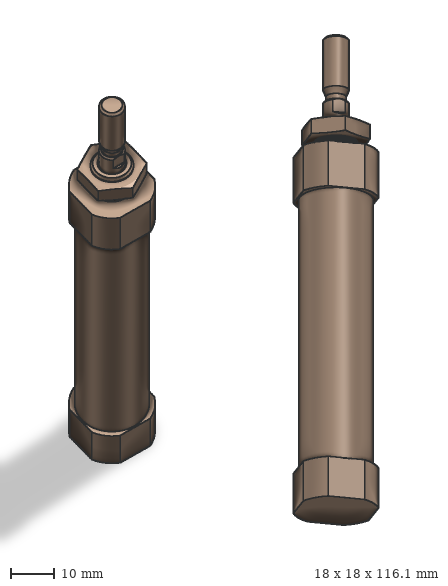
import cadquery as cq
import math

cap_width = 18.0
cap_corner_diameter = 20.0
tube_diameter = 17.3
rear_cap_height = 9.8
front_cap_bottom = 76.3
front_cap_top = 87.4

nose_diameter = 10.0
relief_diameter = 8.9
groove_diameter = 8.4
groove_bottom = 89.6
groove_top = 90.1
bore_mouth_diameter = 6.7
bore_mouth_depth = 0.3
nose_collar_height = 1.4
nose_collar_taper = 0.5
nose_top = 95.3
nose_chamfer_height = 0.7

nut_across_flats = 14.0
nut_corner_diameter = nut_across_flats / math.cos(math.pi / 6)
nut_bottom = 90.4
nut_height = 4.0
nut_top = nut_bottom + nut_height
nut_chamfer_diameter = 13.7
nut_chamfer_height = 0.2

rod_diameter = 6.0
neck_diameter = 4.8
rod_top = 116.1
rod_tip_diameter = 4.8
rod_tip_chamfer_height = 0.6
thread_bottom = 103.3
neck_top = 101.7
shoulder_top = 100.4
shoulder_chamfer = 0.5
flat_distance = 5.2
flat_bottom = 97.1
flat_runout = (rod_diameter - flat_distance) / 2


def turned(points):
    """Revolve a closed (radius, height) outline about the Z axis."""
    return cq.Workplane("XZ").polyline(points).close().revolve(360, (0, 0), (0, 1))


def make_cap(bottom, top):
    """Square block with its corners rounded to a common cylinder."""
    height = top - bottom
    square = cq.Workplane("XY").workplane(offset=bottom).rect(cap_width, cap_width).extrude(height)
    rounding = cq.Workplane("XY").workplane(offset=bottom).circle(cap_corner_diameter / 2).extrude(height)
    return square.intersect(rounding)


def make_nose():
    """Collar, grooved relief below the nut, and the thread with its chamfered end."""
    nose_radius = nose_diameter / 2
    relief_radius = relief_diameter / 2
    groove_radius = groove_diameter / 2
    collar_top = front_cap_top + nose_collar_height
    return turned([
        (0, front_cap_top),
        (nose_radius, front_cap_top),
        (nose_radius, collar_top),
        (relief_radius, collar_top + nose_collar_taper),
        (relief_radius, groove_bottom),
        (groove_radius, groove_bottom),
        (groove_radius, groove_top),
        (relief_radius, groove_top),
        (relief_radius, nut_bottom),
        (nose_radius, nut_bottom),
        (nose_radius, nose_top - nose_chamfer_height),
        (relief_radius, nose_top),
        (0, nose_top),
    ])


def make_rod_bore():
    """Blind bore that holds the rod, countersunk at its mouth."""
    rod_radius = rod_diameter / 2
    return turned([
        (0, front_cap_bottom),
        (rod_radius, front_cap_bottom),
        (rod_radius, nose_top - bore_mouth_depth),
        (bore_mouth_diameter / 2, nose_top),
        (0, nose_top),
    ])


def make_housing():
    tube_length = front_cap_bottom - rear_cap_height
    tube = cq.Workplane("XY").workplane(offset=rear_cap_height).circle(tube_diameter / 2).extrude(tube_length)
    return (
        make_cap(0, rear_cap_height)
        .union(tube)
        .union(make_cap(front_cap_bottom, front_cap_top))
        .union(make_nose())
        .cut(make_rod_bore())
    )


def make_nut():
    """Hexagon nut with conical corner chamfers on both faces."""
    hexagon = (
        cq.Workplane("XY").workplane(offset=nut_bottom).polygon(6, nut_corner_diameter).extrude(nut_height)
    )
    corner_radius = nut_corner_diameter / 2
    chamfer_radius = nut_chamfer_diameter / 2
    corner_chamfers = turned([
        (0, nut_bottom),
        (chamfer_radius, nut_bottom),
        (corner_radius, nut_bottom + nut_chamfer_height),
        (corner_radius, nut_top - nut_chamfer_height),
        (chamfer_radius, nut_top),
        (0, nut_top),
    ])
    bore = cq.Workplane("XY").workplane(offset=nut_bottom).circle(nose_diameter / 2).extrude(nut_height)
    return hexagon.intersect(corner_chamfers).cut(bore)


def make_flat_cutter(side):
    """Prism that cuts one wrench flat, with a 45 degree run-out at its lower end."""
    inner = side * flat_distance / 2
    outer = side * rod_diameter / 2
    outline = [
        (inner, flat_bottom),
        (outer, flat_bottom - flat_runout),
        (outer, shoulder_top),
        (inner, shoulder_top),
    ]
    return cq.Workplane("XZ").polyline(outline).close().extrude(rod_diameter / 2, both=True)


def make_rod():
    """Stepped rod with its two wrench flats facing -X and +X."""
    rod_radius = rod_diameter / 2
    neck_radius = neck_diameter / 2
    rod = turned([
        (0, front_cap_bottom),
        (rod_radius, front_cap_bottom),
        (rod_radius, shoulder_top - shoulder_chamfer),
        (rod_radius - shoulder_chamfer, shoulder_top),
        (neck_radius, shoulder_top),
        (neck_radius, neck_top),
        (rod_radius, thread_bottom),
        (rod_radius, rod_top - rod_tip_chamfer_height),
        (rod_tip_diameter / 2, rod_top),
        (0, rod_top),
    ])
    for side in (-1, 1):
        rod = rod.cut(make_flat_cutter(side))
    return rod


housing = make_housing()
nut = make_nut()
rod = make_rod()
result = cq.Compound.makeCompound([housing.val(), nut.val(), rod.val()])